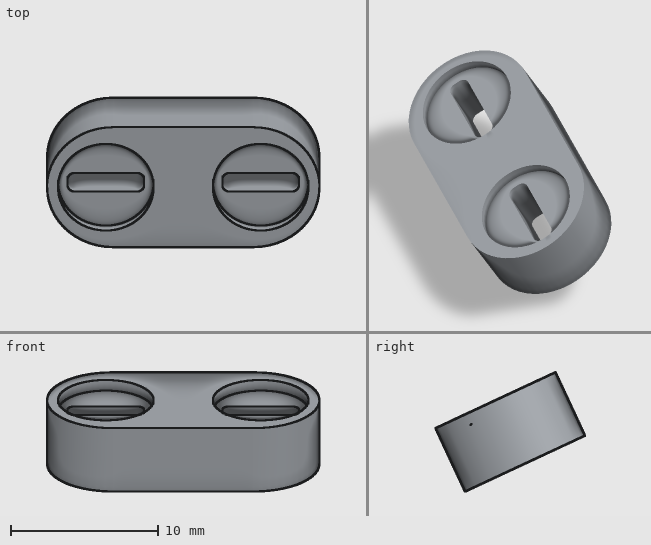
import cadquery as cq

length = 18.5
width = 9.0
height = 4.75
tilt_angle = 25.0

pocket_diameter = 6.5
pocket_depth = 0.8
pocket_spacing = 10.5
slot_length = 5.2
slot_width = 1.4
slot_corner_radius = 0.5

pocket_centers = [(-pocket_spacing / 2, 0), (pocket_spacing / 2, 0)]


def make_body():
    """Obround block centred on the origin, with fully round ends."""
    return cq.Workplane("XY").slot2D(length, width).extrude(height / 2, both=True)


def make_pockets():
    """Shallow round recesses open at the top face."""
    return (
        cq.Workplane("XY", origin=(0, 0, height / 2 - pocket_depth))
        .pushPoints(pocket_centers)
        .circle(pocket_diameter / 2)
        .extrude(pocket_depth)
    )


def make_slots():
    """Rounded slots that run through the full height."""
    return (
        cq.Workplane("XY")
        .pushPoints(pocket_centers)
        .rect(slot_length, slot_width)
        .extrude(height / 2, both=True)
        .edges("|Z")
        .fillet(slot_corner_radius)
    )


block = make_body().cut(make_pockets()).cut(make_slots())

result = block.rotate((0, 0, 0), (1, 0, 0), tilt_angle)